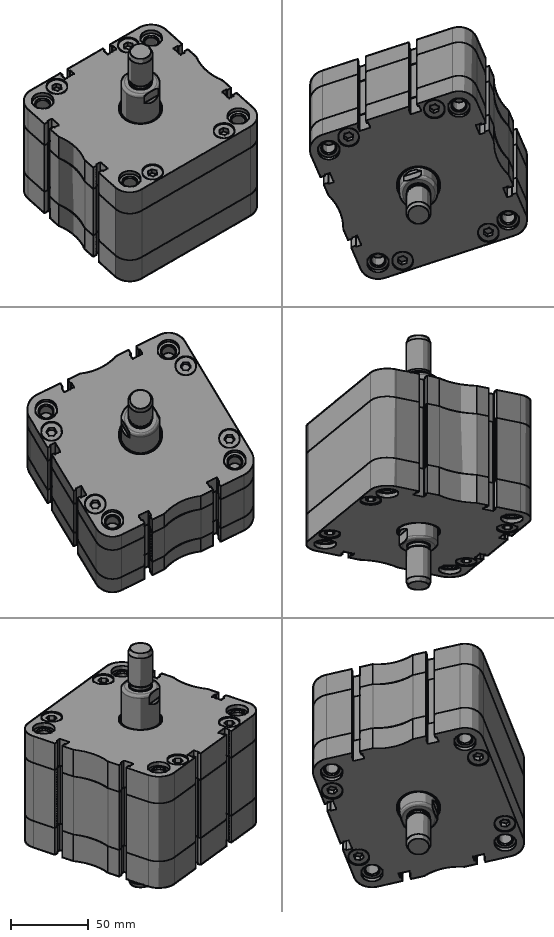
import cadquery as cq
import math

SIDE = 113.5
CORNER_RADIUS = 12.1
HOUSING_BOTTOM = -48.5
HOUSING_TOP = 33.9
CAP_HEIGHT = 19.7

WAIST_HALF_WIDTH = 13.3
CAP_WAIST_DEPTH = 2.6
BARREL_WAIST_DEPTH = 2.2

SIDE_SLOT_OFFSET = 24.9
SIDE_SLOT_DEPTH = 6.7
SIDE_SLOT_LIP = 3.1
LEFT_SLOT_OFFSET = 17.5
CAP_LEFT_SLOT_DEPTH = 5.9
BARREL_LEFT_SLOT_DEPTH = 5.4
LEFT_SLOT_LIP = 2.0
SLOT_MOUTH_WIDTH = 5.5
CAP_SLOT_WIDTH = 7.3
BARREL_SLOT_WIDTH = 6.7

MOUNT_OFFSET = 44.6
MOUNT_BORE_DIAMETER = 14.0
MOUNT_BORE_DEPTH = 3.0
MOUNT_THREAD_DIAMETER = 10.0
MOUNT_HOLE_DIAMETER = 8.6
MOUNT_BEVEL_DEPTH = 1.0
MOUNT_HOLE_DEPTH = 13.8

SCREW_X = 49.0
SCREW_Y = 29.4
SCREW_RECESS_DIAMETER = 13.5
SCREW_HEAD_DIAMETER = 13.1
SCREW_RECESS_DEPTH = 3.5
SCREW_HEAD_SETBACK = 0.9
SOCKET_ACROSS_FLATS = 5.7
SOCKET_DEPTH = 3.5

ROD_DIAMETER = 24.9
ROD_HALF_LENGTH = 86.5
SHOULDER_HEIGHT = 58.6
SHOULDER_RADIUS = 2.0
THREAD_DIAMETER = 16.0
THREAD_LENGTH = 24.2
THREAD_CHAMFER = 1.2
THREAD_CHAMFER_LENGTH = 3.1
NECK_DIAMETER = 14.0
NECK_FOOT_BEVEL = 0.5
FLAT_ACROSS = 22.0
FLAT_LENGTH = 7.3

WIPER_OUTER_DIAMETER = 28.0
WIPER_LIP_DIAMETER = 26.8
WIPER_INNER_DIAMETER = 25.6
WIPER_HEIGHT = 5.2

HALF_SIDE = SIDE / 2
BARREL_BOTTOM = HOUSING_BOTTOM + CAP_HEIGHT
BARREL_HEIGHT = HOUSING_TOP - HOUSING_BOTTOM - 2 * CAP_HEIGHT
SIGNS = (-1, 1)


def t_slot(width, depth, lip, height):
    """Solid that cuts a T slot into the -Y side, centred on X = 0, from Z = 0 up."""
    mouth = cq.Workplane("XY").box(SLOT_MOUTH_WIDTH, lip, height, centered=(True, False, False))
    inner = cq.Workplane("XY").box(width, depth - lip, height, centered=(True, False, False))
    return mouth.union(inner.translate((0, lip, 0))).translate((0, -HALF_SIDE, 0))


def waist(depth, height):
    """Solid that cuts the concave waist into the -Y side, from Z = 0 up."""
    return (
        cq.Workplane("XY")
        .moveTo(-WAIST_HALF_WIDTH, -HALF_SIDE)
        .threePointArc((0, depth - HALF_SIDE), (WAIST_HALF_WIDTH, -HALF_SIDE))
        .close()
        .extrude(height)
    )


def housing_block(height, waist_depth, slot_width, left_slot_depth):
    """Rounded square block with waists and slots, standing on Z = 0."""
    block = (
        cq.Workplane("XY")
        .box(SIDE, SIDE, height, centered=(True, True, False))
        .edges("|Z")
        .fillet(CORNER_RADIUS)
    )
    front_waist = waist(waist_depth, height)
    block = block.cut(front_waist).cut(front_waist.mirror("XZ"))
    side_slot = t_slot(slot_width, SIDE_SLOT_DEPTH, SIDE_SLOT_LIP, height)
    left_slot = t_slot(slot_width, left_slot_depth, LEFT_SLOT_LIP, height)
    left_slot = left_slot.rotate((0, 0, 0), (0, 0, 1), -90)
    for sign in SIGNS:
        front_slot = side_slot.translate((sign * SIDE_SLOT_OFFSET, 0, 0))
        block = block.cut(front_slot).cut(front_slot.mirror("XZ"))
        block = block.cut(left_slot.translate((0, sign * LEFT_SLOT_OFFSET, 0)))
    return block


def mounting_hole():
    """Stepped blind hole going down from Z = 0."""
    profile = [
        (0, 0),
        (MOUNT_BORE_DIAMETER / 2, 0),
        (MOUNT_BORE_DIAMETER / 2, -MOUNT_BORE_DEPTH),
        (MOUNT_THREAD_DIAMETER / 2, -MOUNT_BORE_DEPTH),
        (MOUNT_HOLE_DIAMETER / 2, -MOUNT_BORE_DEPTH - MOUNT_BEVEL_DEPTH),
        (MOUNT_HOLE_DIAMETER / 2, -MOUNT_HOLE_DEPTH),
        (0, -MOUNT_HOLE_DEPTH),
    ]
    return cq.Workplane("XZ").polyline(profile).close().revolve(360, (0, 0), (0, 1))


def screw_recess():
    """Space around a sunk screw head and inside its hexagon socket, down from Z = 0."""
    head_height = SCREW_RECESS_DEPTH - SCREW_HEAD_SETBACK
    head = (
        cq.Workplane("XY")
        .workplane(offset=-SCREW_RECESS_DEPTH)
        .circle(SCREW_HEAD_DIAMETER / 2)
        .extrude(head_height)
    )
    socket = (
        cq.Workplane("XY")
        .polygon(6, SOCKET_ACROSS_FLATS / math.cos(math.pi / 6))
        .extrude(-SCREW_HEAD_SETBACK - SOCKET_DEPTH)
        .rotate((0, 0, 0), (0, 0, 1), 30)
    )
    recess = cq.Workplane("XY").circle(SCREW_RECESS_DIAMETER / 2).extrude(-SCREW_RECESS_DEPTH)
    return recess.cut(head).union(socket)


def make_cap():
    """End cap with its joint face on Z = 0 and its outer face up."""
    cap = housing_block(CAP_HEIGHT, CAP_WAIST_DEPTH, CAP_SLOT_WIDTH, CAP_LEFT_SLOT_DEPTH)
    rod_hole = cq.Workplane("XY").circle(ROD_DIAMETER / 2).extrude(CAP_HEIGHT)
    wiper_seat = (
        cq.Workplane("XY")
        .workplane(offset=CAP_HEIGHT - WIPER_HEIGHT)
        .circle(WIPER_OUTER_DIAMETER / 2)
        .extrude(WIPER_HEIGHT)
    )
    cap = cap.cut(rod_hole).cut(wiper_seat)
    for x_sign in SIGNS:
        for y_sign in SIGNS:
            mount_place = (x_sign * MOUNT_OFFSET, y_sign * MOUNT_OFFSET, CAP_HEIGHT)
            screw_place = (x_sign * SCREW_X, y_sign * SCREW_Y, CAP_HEIGHT)
            cap = cap.cut(mounting_hole().translate(mount_place))
            cap = cap.cut(screw_recess().translate(screw_place))
    return cap


def make_barrel():
    """Middle of the housing, with a hole for the rod."""
    rod_hole = cq.Workplane("XY").circle(ROD_DIAMETER / 2).extrude(BARREL_HEIGHT)
    block = housing_block(BARREL_HEIGHT, BARREL_WAIST_DEPTH, BARREL_SLOT_WIDTH, BARREL_LEFT_SLOT_DEPTH)
    return block.cut(rod_hole).translate((0, 0, BARREL_BOTTOM))


def make_wiper():
    """Ring with a bevelled inner lip, its outer face up and its seat on Z = 0."""
    bevel = (WIPER_LIP_DIAMETER - WIPER_INNER_DIAMETER) / 2
    profile = [
        (WIPER_INNER_DIAMETER / 2, 0),
        (WIPER_OUTER_DIAMETER / 2, 0),
        (WIPER_OUTER_DIAMETER / 2, WIPER_HEIGHT),
        (WIPER_LIP_DIAMETER / 2, WIPER_HEIGHT),
        (WIPER_INNER_DIAMETER / 2, WIPER_HEIGHT - bevel),
    ]
    return cq.Workplane("XZ").polyline(profile).close().revolve(360, (0, 0), (0, 1))


def half_rod():
    """Upper half of the rod, from Z = 0 to its threaded end."""
    thread_start = ROD_HALF_LENGTH - THREAD_LENGTH
    undercut_bevel = (THREAD_DIAMETER - NECK_DIAMETER) / 2
    shank = (
        cq.Workplane("XY")
        .circle(ROD_DIAMETER / 2)
        .extrude(SHOULDER_HEIGHT)
        .faces(">Z")
        .edges()
        .fillet(SHOULDER_RADIUS)
    )
    stud_profile = [
        (0, SHOULDER_HEIGHT),
        (NECK_DIAMETER / 2 + NECK_FOOT_BEVEL, SHOULDER_HEIGHT),
        (NECK_DIAMETER / 2, SHOULDER_HEIGHT + NECK_FOOT_BEVEL),
        (NECK_DIAMETER / 2, thread_start - undercut_bevel),
        (THREAD_DIAMETER / 2, thread_start),
        (THREAD_DIAMETER / 2, ROD_HALF_LENGTH - THREAD_CHAMFER_LENGTH),
        (THREAD_DIAMETER / 2 - THREAD_CHAMFER, ROD_HALF_LENGTH),
        (0, ROD_HALF_LENGTH),
    ]
    stud = cq.Workplane("XZ").polyline(stud_profile).close().revolve(360, (0, 0), (0, 1))
    half = shank.union(stud)

    flat_x = FLAT_ACROSS / 2
    flat_end = SHOULDER_HEIGHT - FLAT_LENGTH
    beyond = ROD_DIAMETER / 2 - flat_x
    flat_cut = (
        cq.Workplane("XZ")
        .polyline([
            (flat_x, SHOULDER_HEIGHT),
            (flat_x, flat_end),
            (flat_x + beyond, flat_end - beyond),
            (flat_x + beyond, SHOULDER_HEIGHT),
        ])
        .close()
        .extrude(ROD_DIAMETER / 2, both=True)
    )
    return half.cut(flat_cut).cut(flat_cut.mirror("YZ"))


def make_rod():
    """Through rod, the same above and below Z = 0."""
    half = half_rod()
    return half.union(half.mirror("XY"))


def at_both_ends(body, height):
    """The body with its outer face on the housing top, and its mirror image at the bottom."""
    upper = body.translate((0, 0, HOUSING_TOP - height))
    middle = (HOUSING_TOP + HOUSING_BOTTOM) / 2
    return [upper.val(), upper.mirror("XY", (0, 0, middle)).val()]


caps = at_both_ends(make_cap(), CAP_HEIGHT)
wipers = at_both_ends(make_wiper(), WIPER_HEIGHT)
barrel = make_barrel()
rod = make_rod()

result = cq.Compound.makeCompound([barrel.val(), *caps, *wipers, rod.val()])